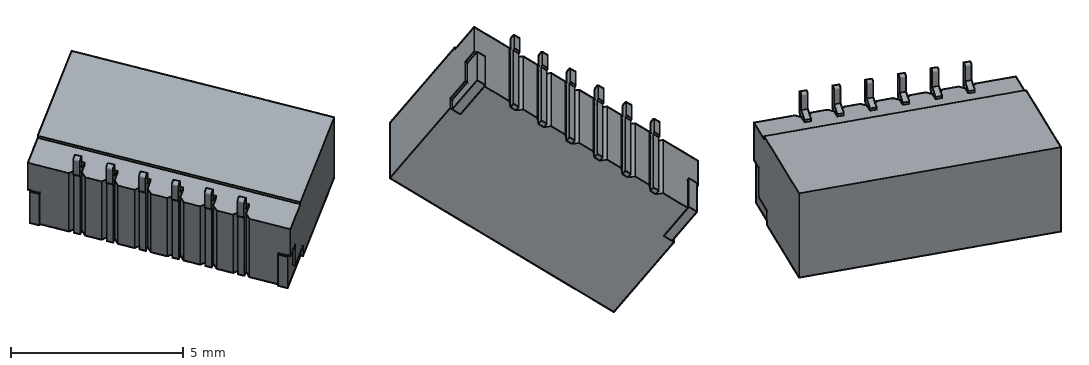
import cadquery as cq


housing_width = 8.0
housing_depth = 4.2
housing_height = 2.9
step_height = 2.8
step_depth = 0.95

pin_count = 6
pin_pitch = 1.0
pin_width = 0.2
pin_thickness = 0.2
pin_top = 3.6
proud = 0.05
pin_tip_radius = 0.07
foot_length = 0.5
foot_toe_height = 0.08
foot_root_height = 0.24

groove_mouth_width = 0.5

tab_thickness = 0.3
tab_inset = 0.07
tab_height = 1.5
tab_length = 1.25
tab_arm = 0.5

pin_back = pin_thickness - proud
pin_positions = [(i - (pin_count - 1) / 2) * pin_pitch for i in range(pin_count)]


def extrude_along_x(outline, x_start, x_length):
    """Prism of a closed (Y, Z) outline."""
    return cq.Workplane("YZ", origin=(x_start, 0, 0)).polyline(outline).close().extrude(x_length)


def tab_prism(x_start, x_length):
    """L-shaped prism that shapes a side tab and its recess."""
    front = -proud
    outline = [
        (front, 0),
        (front + tab_length, 0),
        (front + tab_length, tab_arm),
        (front + tab_arm, tab_arm),
        (front + tab_arm, tab_height),
        (front, tab_height),
    ]
    return extrude_along_x(outline, x_start, x_length)


def make_tabs():
    """Left and right side tabs."""
    left_face = -housing_width / 2 + tab_inset
    left = tab_prism(left_face, tab_thickness)
    return [left, left.mirror("YZ")]


def tab_recesses():
    """Cutters for the tab recesses, open through the housing's side faces."""
    left = tab_prism(-housing_width / 2, tab_inset + tab_thickness)
    return [left, left.mirror("YZ")]


def pin_groove(x):
    """Cutter for one groove, as wide as the pin at its floor and flared toward the front."""
    outline = [
        (x - groove_mouth_width / 2, 0),
        (x - pin_width / 2, pin_back),
        (x + pin_width / 2, pin_back),
        (x + groove_mouth_width / 2, 0),
    ]
    return cq.Workplane("XY").polyline(outline).close().extrude(step_height)


def make_housing():
    """Stepped block with pin grooves in its front and recesses for the tabs."""
    outline = [
        (0, 0),
        (housing_depth, 0),
        (housing_depth, housing_height),
        (step_depth, housing_height),
        (step_depth, step_height),
        (0, step_height),
    ]
    body = extrude_along_x(outline, -housing_width / 2, housing_width)
    for recess in tab_recesses():
        body = body.cut(recess)
    for x in pin_positions:
        body = body.cut(pin_groove(x))
    return body


def make_pin(x):
    """Pin with a leg flush in its groove, a foot on the ledge and a proud upright."""
    toe_y = foot_length - proud
    outline = [
        (0, 0),
        (pin_back, 0),
        (pin_back, step_height),
        (toe_y, step_height),
        (toe_y, step_height + foot_toe_height),
        (pin_back, step_height + foot_root_height),
        (pin_back, pin_top),
        (-proud, pin_top),
        (-proud, step_height + proud),
        (0, step_height),
    ]
    pin = extrude_along_x(outline, x - pin_width / 2, pin_width)
    return pin.faces(">Z").edges("|X").fillet(pin_tip_radius)


housing = make_housing()
tabs = make_tabs()
pins = [make_pin(x) for x in pin_positions]

result = cq.Compound.makeCompound([body.val() for body in [housing, *tabs, *pins]])